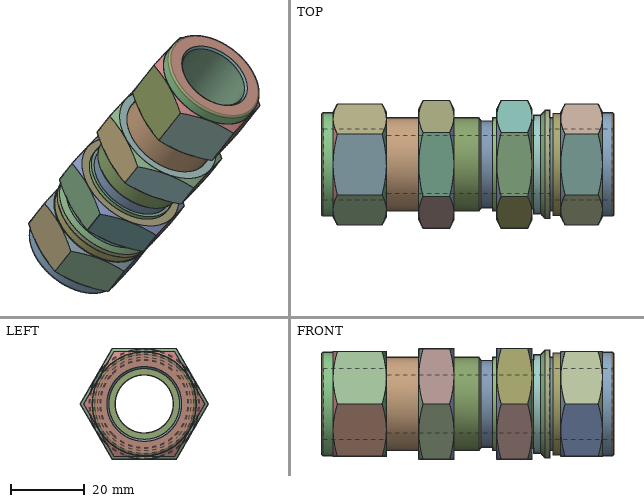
import cadquery as cq
import math

length = 79.5
collar_length = 3.1
rear_nut_end = 17.65
panel_hex_start = 26.4
locknut_start = 47.6
thin_hex_width = 9.6
front_nut_start = 65.0
front_nut_end = length - collar_length

nut_across_flats = 28.5
panel_hex_across_flats = 30.1
locknut_across_flats = 30.2
max_across_corners = 34.8
hex_chamfer_length = 1.2
hex_face_inset = 0.1

collar_diameter = 28.2
collar_edge_radius = 0.55
body_diameter = 25.4
undercut_diameter = 23.7
neck_diameter = 24.2
washer_diameter = 26.9
flange_diameter = 29.5
shoulder_diameter = 27.8

undercut_taper_start = 42.75
undercut_start = 43.4
undercut_end = 46.5
washer_start = 57.6
flange_taper_start = 59.5
flange_start = 60.8
flange_end = 62.1
shoulder_start = 62.9

bore_diameter = 15.7
socket_diameter = 19.2
socket_mouth_diameter = 20.35
socket_depth = 17.5
socket_chamfer = (socket_mouth_diameter - socket_diameter) / 2


def cone(start, end, start_diameter, end_diameter):
    """Solid of revolution about X with straight or tapered sides."""
    profile = [
        (start, 0),
        (start, start_diameter / 2),
        (end, end_diameter / 2),
        (end, 0),
    ]
    return cq.Workplane("XY").polyline(profile).close().revolve(360, (0, 0, 0), (1, 0, 0))


def cylinder(start, end, diameter):
    return cone(start, end, diameter, diameter)


def hexagon(start, end, across_flats):
    """Hexagonal prism along X whose corners are chamfered at both ends."""
    across_corners = across_flats / math.cos(math.pi / 6)
    corner_diameter = min(across_corners, max_across_corners)
    face_diameter = across_flats - 2 * hex_face_inset
    prism = cq.Workplane("YZ", origin=(start, 0, 0)).polygon(6, across_corners).extrude(end - start)
    left_chamfer_end = start + hex_chamfer_length
    right_chamfer_start = end - hex_chamfer_length
    envelope = (
        cone(start, left_chamfer_end, face_diameter, corner_diameter)
        .union(cylinder(left_chamfer_end, right_chamfer_start, corner_diameter))
        .union(cone(right_chamfer_start, end, corner_diameter, face_diameter))
    )
    return prism.intersect(envelope)


def turned_body():
    """Round sections between and beyond the hexagons."""
    sections = [
        cylinder(0, collar_length, collar_diameter).faces("<X").edges().fillet(collar_edge_radius),
        cylinder(collar_length, undercut_taper_start, body_diameter),
        cone(undercut_taper_start, undercut_start, body_diameter, undercut_diameter),
        cylinder(undercut_start, undercut_end, undercut_diameter),
        cylinder(undercut_end, locknut_start + thin_hex_width, body_diameter),
        cylinder(locknut_start + thin_hex_width, washer_start, neck_diameter),
        cylinder(washer_start, flange_taper_start, washer_diameter),
        cone(flange_taper_start, flange_start, washer_diameter, flange_diameter),
        cylinder(flange_start, flange_end, flange_diameter),
        cylinder(flange_end, shoulder_start, body_diameter),
        cylinder(shoulder_start, front_nut_start, shoulder_diameter),
        cylinder(front_nut_start, length, collar_diameter).faces(">X").edges().fillet(collar_edge_radius),
    ]
    body = sections[0]
    for section in sections[1:]:
        body = body.union(section)
    return body


def bore_cutter():
    """Through bore with a chamfered socket at each end."""
    socket = cylinder(0, socket_depth, socket_diameter).union(
        cone(0, socket_chamfer, socket_mouth_diameter, socket_diameter)
    )
    opposite_socket = socket.mirror("YZ").translate((length, 0, 0))
    return cylinder(0, length, bore_diameter).union(socket).union(opposite_socket)


result = (
    turned_body()
    .union(hexagon(collar_length, rear_nut_end, nut_across_flats))
    .union(hexagon(panel_hex_start, panel_hex_start + thin_hex_width, panel_hex_across_flats))
    .union(hexagon(locknut_start, locknut_start + thin_hex_width, locknut_across_flats))
    .union(hexagon(front_nut_start, front_nut_end, nut_across_flats))
    .cut(bore_cutter())
    .translate((-length / 2, 0, 0))
)